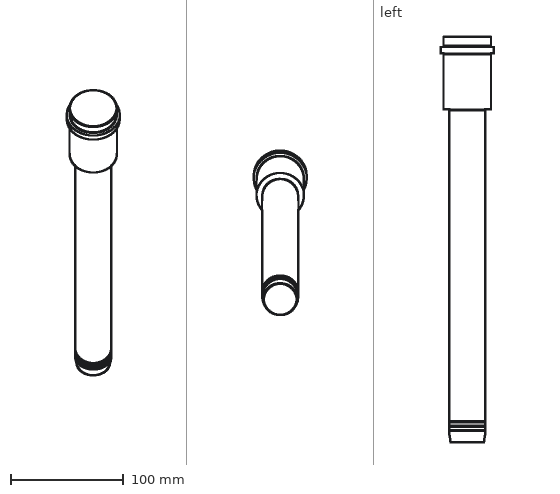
import cadquery as cq

total_height = 360
head_height = 64.8
head_bottom = total_height - head_height

head_diameter = 42.0
flange_diameter = 47.0
shaft_diameter = 32.0
tip_diameter = 30.0

flange_thickness = 5.8
flange_top_offset = 9.5
flange_top = total_height - flange_top_offset
flange_bottom = flange_top - flange_thickness

tip_height = 7.5
edge_chamfer = 0.55

groove_count = 3
groove_width = 1.0
groove_depth = 0.5
groove_pitch = 4.0
first_groove_bottom = 10.0

relief_width = 1.0
relief_depth = 0.5


def cylinder(diameter, height, bottom):
    return cq.Workplane("XY").workplane(offset=bottom).circle(diameter / 2).extrude(height)


def tapered_tip():
    """Revolved end whose side widens in a straight taper up to the shaft diameter."""
    shaft_radius = shaft_diameter / 2
    tip_radius = tip_diameter / 2
    return (
        cq.Workplane("XZ")
        .lineTo(tip_radius - edge_chamfer, 0)
        .lineTo(tip_radius, edge_chamfer)
        .lineTo(shaft_radius, tip_height)
        .lineTo(0, tip_height)
        .close()
        .revolve(360, (0, 0, 0), (0, 1, 0))
    )


def ring_cutter(diameter, depth, width, bottom):
    """Ring that cuts to the given depth into a cylinder of the given diameter."""
    outer = cylinder(diameter + 2 * depth, width, bottom)
    core = cylinder(diameter - 2 * depth, width, bottom)
    return outer.cut(core)


shaft = cylinder(shaft_diameter, head_bottom - tip_height, tip_height)
head = cylinder(head_diameter, head_height, head_bottom).faces(">Z").chamfer(edge_chamfer)
flange = cylinder(flange_diameter, flange_thickness, flange_bottom)

result = tapered_tip().union(shaft).union(head).union(flange)

for index in range(groove_count):
    groove_bottom = first_groove_bottom + index * groove_pitch
    result = result.cut(ring_cutter(shaft_diameter, groove_depth, groove_width, groove_bottom))

for diameter, relief_bottom in (
    (head_diameter, flange_top),
    (head_diameter, flange_bottom - relief_width),
    (shaft_diameter, head_bottom - relief_width),
):
    result = result.cut(ring_cutter(diameter, relief_depth, relief_width, relief_bottom))